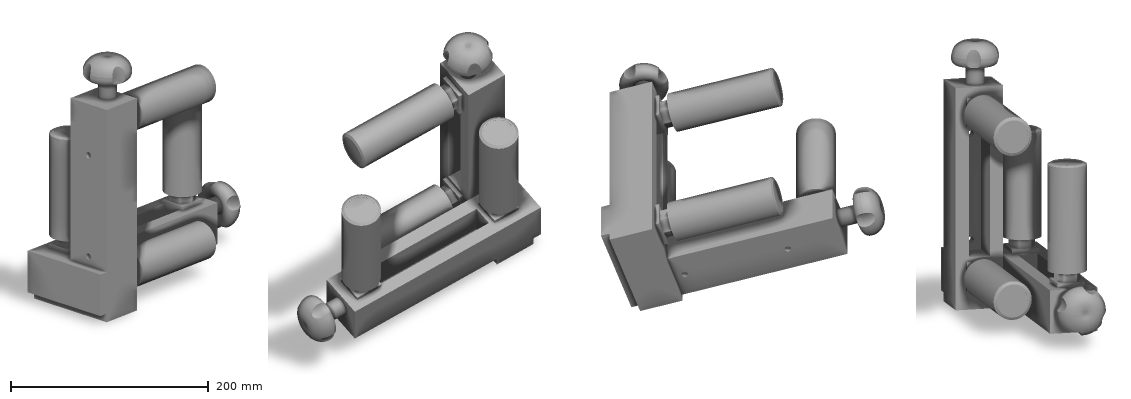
import cadquery as cq
import math


overall_length = 274.5

arm_width = 50.0
arm_length = 230.0
arm_depth = 45.0
lap_step = 9.3
total_width = 2 * arm_width
arm_mid_x = arm_width / 2
arm_top = lap_step + arm_depth

near_roller_y = 34.5
far_roller_y = 204.5
roller_diameter = 40.0
roller_length = 111.7
rim_width = 3.0
rim_height = 1.6
cap_diameter = 30.7
cap_recess_depth = 0.3

plate_width = 28.5
plate_length = 30.2
plate_height = 4.0
hex_across_flats = 24.1
hex_height = 10.2

slot_width = 21.7
slot_depth = 33.0
hole_diameter = 6.5
hole_positions_y = (64.8, 174.5)

knob_axis_z = 37.5
neck_diameter = 19.0
neck_length = 19.5
knob_diameter = 50.0
knob_band = 2.7
crown_diameter = 16.0
dimple_diameter = 3.3
knob_height = overall_length - arm_length - neck_length
grip_count = 4
grip_radius = 9.3
grip_circle_radius = 29.5
grip_turn = -19


def bar():
    """Arm bar with the lap that carries it under the other arm."""
    beam = cq.Workplane("XY").box(arm_width, arm_length, arm_depth, centered=False)
    lap = cq.Workplane("XY").box(total_width, arm_top, arm_depth, centered=False)
    return beam.union(lap).translate((0, 0, lap_step))


def slot():
    """Slot that ends flush with the two carrier plates."""
    start_y = near_roller_y + plate_length / 2
    end_y = far_roller_y - plate_length / 2
    return (
        cq.Workplane("XY")
        .box(slot_width, end_y - start_y, slot_depth, centered=(True, False, False))
        .translate((arm_mid_x, start_y, arm_top - slot_depth))
    )


def through_holes():
    return (
        cq.Workplane("XY")
        .pushPoints([(arm_mid_x, y) for y in hole_positions_y])
        .circle(hole_diameter / 2)
        .extrude(arm_top)
    )


def roller(center_y, hex_turn):
    """Plate, hexagon and roller stacked on the arm."""
    corner_diameter = hex_across_flats / math.cos(math.pi / 6)
    hex_base = plate_height
    roller_base = hex_base + hex_height
    roller_top = roller_base + roller_length
    plate = cq.Workplane("XY").box(plate_width, plate_length, plate_height, centered=(True, True, False))
    hexagon = (
        cq.Workplane("XY", origin=(0, 0, hex_base))
        .polygon(6, corner_diameter)
        .extrude(hex_height)
        .rotate((0, 0, 0), (0, 0, 1), hex_turn)
    )
    barrel = (
        cq.Workplane("XY", origin=(0, 0, roller_base))
        .circle(roller_diameter / 2)
        .extrude(roller_length)
        .faces(">Z")
        .chamfer(rim_height, rim_width)
    )
    cap_recess = (
        cq.Workplane("XY", origin=(0, 0, roller_top - cap_recess_depth))
        .circle(cap_diameter / 2)
        .extrude(cap_recess_depth)
    )
    stack = plate.union(hexagon).union(barrel.cut(cap_recess))
    return stack.translate((arm_mid_x, center_y, arm_top))


def knob():
    """Ring-shaped knob on its neck, turned about Z and then laid along Y."""
    knob_radius = knob_diameter / 2
    neck_radius = neck_diameter / 2
    dimple_radius = dimple_diameter / 2
    lower_radius = (knob_radius - neck_radius) / 2
    lower_mid = neck_radius + lower_radius
    band_bottom = neck_length + lower_radius
    band_top = band_bottom + knob_band
    knob_top = neck_length + knob_height
    crown_radius = crown_diameter / 2
    crown_rise = knob_top - band_top
    crown_reach = knob_radius - crown_radius
    upper_radius = (crown_reach**2 + crown_rise**2) / (2 * crown_rise)
    dimple_depth = upper_radius - math.sqrt(upper_radius**2 - (crown_radius - dimple_radius) ** 2)
    dimple_z = knob_top - dimple_depth
    body = (
        cq.Workplane("XZ")
        .lineTo(neck_radius, 0)
        .lineTo(neck_radius, band_bottom)
        .threePointArc((lower_mid, neck_length), (knob_radius, band_bottom))
        .lineTo(knob_radius, band_top)
        .threePointArc((crown_radius, knob_top), (dimple_radius, dimple_z))
        .lineTo(0, dimple_z)
        .close()
        .revolve(360, (0, 0, 0), (0, 1, 0))
    )
    grips = (
        cq.Workplane("XY", origin=(0, 0, neck_length))
        .polarArray(grip_circle_radius, grip_turn, 360, grip_count)
        .circle(grip_radius)
        .extrude(knob_height)
    )
    upright = body.cut(grips)
    return upright.rotate((0, 0, 0), (1, 0, 0), -90).translate((arm_mid_x, arm_length, knob_axis_z))


def arm(hex_turn):
    """Arm along Y with its slot, holes, rollers and knob."""
    body = bar().union(knob())
    for center_y in (near_roller_y, far_roller_y):
        body = body.union(roller(center_y, hex_turn))
    return body.cut(slot()).cut(through_holes())


base = arm(hex_turn=0)
post = arm(hex_turn=90).rotate((arm_width, 0, 0), (arm_width, 2.7, 2.7), 180)
result = base.union(post)